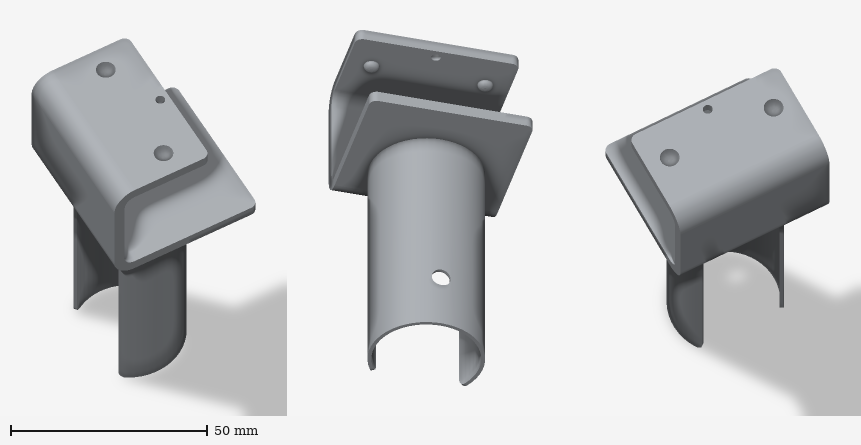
import cadquery as cq
import math

bracket_width = 43.0
bracket_height = 34.0
sheet = 3.0
inner_bend_radius = 3.0
outer_bend_radius = inner_bend_radius + sheet
lower_flange_length = 42.0
upper_flange_length = 28.0
flange_corner_radius = 2.0

pilot_hole_diameter = 2.5
pilot_hole_y = 25.5
dimple_spacing = 30.0
dimple_y = 18.0
dimple_floor_radius = 0.5
dimple_recess_diameter = 5.0
dimple_bump_height = 1.5

sleeve_outer_radius = 15.0
sleeve_wall = 1.0
sleeve_inner_radius = sleeve_outer_radius - sleeve_wall
sleeve_length = 60.0
sleeve_axis_y = 16.0
sleeve_gap_half_angle = math.radians(51.6)
sleeve_corner_radius = 2.0
sleeve_hole_diameter = 5.0
sleeve_hole_height = 15.0


def sheet_flange(length, bottom):
    """Flat flange running from the front wall, with rounded free corners."""
    return (
        cq.Workplane("XY", origin=(0, 0, bottom))
        .rect(bracket_width, 2 * length)
        .extrude(sheet)
        .edges("|Z and >Y")
        .fillet(flange_corner_radius)
        .intersect(
            cq.Workplane("XY", origin=(0, 0, bottom))
            .center(0, (length + outer_bend_radius) / 2)
            .rect(bracket_width, length - outer_bend_radius)
            .extrude(sheet)
        )
    )


def folded_wall():
    """Front wall together with its two bends, ending where the flat flanges start."""
    outer = (
        cq.Workplane("XY")
        .center(0, outer_bend_radius)
        .rect(bracket_width, 2 * outer_bend_radius)
        .extrude(bracket_height)
        .edges("|X and <Y")
        .fillet(outer_bend_radius)
    )
    inner = (
        cq.Workplane("XY", origin=(0, 0, sheet))
        .center(0, sheet + outer_bend_radius)
        .rect(bracket_width, 2 * outer_bend_radius)
        .extrude(bracket_height - 2 * sheet)
        .edges("|X and <Y")
        .fillet(inner_bend_radius)
    )
    front_zone = (
        cq.Workplane("XY")
        .center(0, outer_bend_radius / 2)
        .rect(bracket_width, outer_bend_radius)
        .extrude(bracket_height)
    )
    return outer.cut(inner).intersect(front_zone)


def rounded_cap(x, top, depth, floor_radius):
    """Downward cap with a flat floor and a quarter-round side as tall as the cap."""
    diagonal = depth * math.sqrt(0.5)
    return (
        cq.Workplane("XZ")
        .lineTo(floor_radius + depth, 0)
        .threePointArc((floor_radius + diagonal, -diagonal), (floor_radius, -depth))
        .lineTo(0, -depth)
        .close()
        .revolve(360, (0, 0, 0), (0, 1, 0))
        .translate((x, dimple_y, top))
    )


def make_bracket():
    body = (
        folded_wall()
        .union(sheet_flange(lower_flange_length, 0))
        .union(sheet_flange(upper_flange_length, bracket_height - sheet))
    )
    recess_depth = dimple_recess_diameter / 2 - dimple_floor_radius
    for x in (-dimple_spacing / 2, dimple_spacing / 2):
        bump = rounded_cap(x, bracket_height - sheet, dimple_bump_height, dimple_floor_radius)
        recess = rounded_cap(x, bracket_height, recess_depth, dimple_floor_radius)
        body = body.union(bump).cut(recess)
    pilot_hole = (
        cq.Workplane("XY", origin=(0, pilot_hole_y, bracket_height - sheet))
        .circle(pilot_hole_diameter / 2)
        .extrude(sheet)
    )
    return body.cut(pilot_hole)


def make_sleeve():
    def section_point(radius, side):
        """Point on the gap edge, on the -X (side = -1) or +X (side = 1) side."""
        return (
            side * radius * math.sin(sleeve_gap_half_angle),
            -radius * math.cos(sleeve_gap_half_angle),
        )

    body = (
        cq.Workplane("XY", origin=(0, sleeve_axis_y, -sleeve_length))
        .moveTo(*section_point(sleeve_outer_radius, -1))
        .threePointArc((0, sleeve_outer_radius), section_point(sleeve_outer_radius, 1))
        .lineTo(*section_point(sleeve_inner_radius, 1))
        .threePointArc((0, sleeve_inner_radius), section_point(sleeve_inner_radius, -1))
        .close()
        .extrude(sleeve_length)
    )
    gap_zone = cq.selectors.BoxSelector(
        (-sleeve_outer_radius, 0, -2 * sleeve_length),
        (sleeve_outer_radius, sleeve_axis_y - sleeve_inner_radius / 2, sleeve_length),
    )
    body = body.edges("#Z").edges("%LINE").edges(gap_zone).fillet(sleeve_corner_radius)
    back_hole = (
        cq.Workplane("XZ", origin=(0, sleeve_axis_y, sleeve_hole_height - sleeve_length))
        .circle(sleeve_hole_diameter / 2)
        .extrude(-sleeve_outer_radius)
    )
    return body.cut(back_hole)


bracket = make_bracket()
sleeve = make_sleeve()

result = cq.Compound.makeCompound([bracket.val(), sleeve.val()])